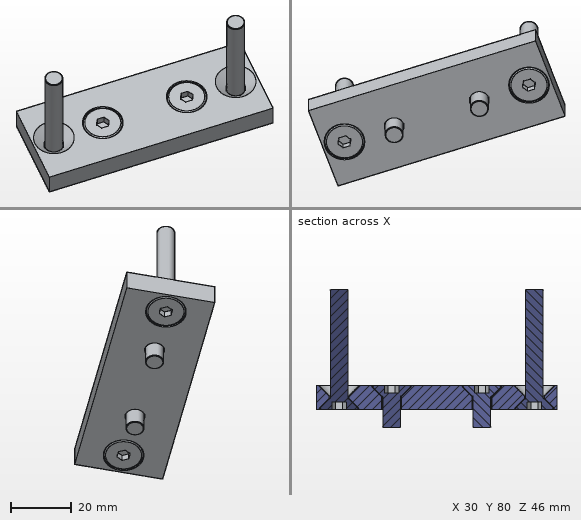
import cadquery as cq
import math

plate_width = 30.0
plate_length = 80.0
plate_thickness = 8.0

long_screw_spacing = 65.0
short_screw_spacing = 30.0
long_screw_positions = (-long_screw_spacing / 2, long_screw_spacing / 2)
short_screw_positions = (-short_screw_spacing / 2, short_screw_spacing / 2)

hole_diameter = 6.6
sink_diameter = 13.5
sink_angle = 90.0

shank_diameter = 6.0
end_chamfer = 0.2
long_screw_length = 40.0
short_screw_length = 14.0

head_depth = (sink_diameter - shank_diameter) / 2
head_rim_diameter = 13.0
head_rim_depth = (sink_diameter - head_rim_diameter) / 2
head_face_diameter = 12.0
socket_flats = 4.0
socket_depth = 2.5
socket_corners = socket_flats / math.cos(math.pi / 6)


def make_plate():
    """Flat plate with four countersunk holes; the outer two are countersunk on both faces."""
    plate = (
        cq.Workplane("XY")
        .box(plate_width, plate_length, plate_thickness, centered=(True, True, False))
        .faces(">Z")
        .workplane(origin=(0, 0, plate_thickness))
        .pushPoints([(0, y) for y in long_screw_positions + short_screw_positions])
        .cskHole(hole_diameter, sink_diameter, sink_angle)
    )
    return (
        plate.faces("<Z")
        .workplane(origin=(0, 0, 0))
        .pushPoints([(0, y) for y in long_screw_positions])
        .cskHole(hole_diameter, sink_diameter, sink_angle)
    )


def make_screw(length):
    """Countersunk hexagon socket screw pointing down, with the head face on Z = 0."""
    shank_radius = shank_diameter / 2
    screw = (
        cq.Workplane("XZ")
        .lineTo(head_face_diameter / 2, 0)
        .lineTo(head_rim_diameter / 2, -head_rim_depth)
        .lineTo(shank_radius, -head_depth)
        .lineTo(shank_radius, -length)
        .lineTo(0, -length)
        .close()
        .revolve(360, (0, 0, 0), (0, 1, 0))
    )
    screw = screw.faces("<Z").chamfer(end_chamfer)
    socket = (
        cq.Workplane("XY")
        .polygon(6, socket_corners)
        .extrude(-socket_depth)
        .rotate((0, 0, 0), (0, 0, 1), 30)
    )
    return screw.cut(socket)


def make_long_screw(y):
    """Long screw turned upright, its head flush with the underside of the plate."""
    return make_screw(long_screw_length).rotate((0, 0, 0), (1, 0, 0), 180).translate((0, y, 0))


def make_short_screw(y):
    """Short screw pointing down, its head flush with the top of the plate."""
    return make_screw(short_screw_length).translate((0, y, plate_thickness))


plate = make_plate()
long_screws = [make_long_screw(y) for y in long_screw_positions]
short_screws = [make_short_screw(y) for y in short_screw_positions]

result = cq.Compound.makeCompound([body.val() for body in [plate, *long_screws, *short_screws]])